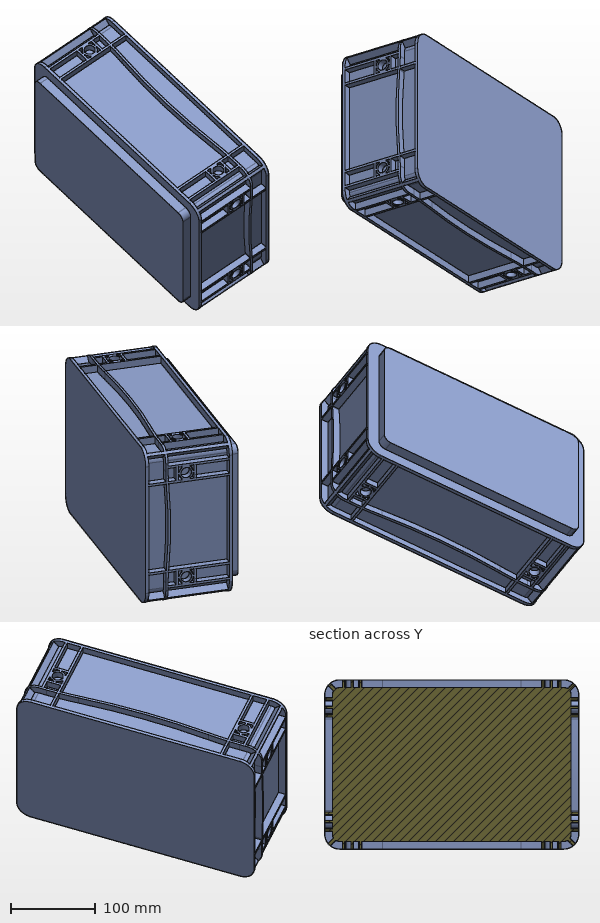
import cadquery as cq
import math


LENGTH = 300.0
WIDTH = 200.0
HEIGHT = 120.0
CORNER_RADIUS = 18.0
RECESS_DEPTH = 9.0

FOOT_HEIGHT = 12.0
FOOT_INSET = 15.0
FOOT_CORNER_RADIUS = 9.0

FLANGE_THICKNESS = 4.0

RIB = 3.0
CORNER_RIB = 4.0
BAND_HEIGHT = 21.0
POST_INSET = 41.0
STUB_INSET = 21.0
BOW_ANGLE = math.radians(4.9)

LONG_HALF_BOW = 122.0
LONG_HALF_ARC = 82.0
SHORT_HALF_BOW = 72.0
SHORT_HALF_ARC = 54.0

BOSS_CELL_HEIGHT = 19.0
BOSS_DEPTH_BELOW_RIM = 50.5
BOSS_ARM_HEIGHT = 10.0
BOSS_OUTER_RADIUS = 9.0
BOSS_HOLE_DIAMETER = 13.0

flange_top = FOOT_HEIGHT + FLANGE_THICKNESS
rim_bottom = HEIGHT - FLANGE_THICKNESS
bow_top = rim_bottom - BAND_HEIGHT
bow_bottom = bow_top - RIB
boss_height = HEIGHT - BOSS_DEPTH_BELOW_RIM
boss_offset = (STUB_INSET + RIB + POST_INSET) / 2
boss_cell_width = POST_INSET - STUB_INSET - RIB


def rounded_slab(length, width, radius, bottom, top):
    """Rectangle in X and Z with rounded corners, standing between two heights along Y."""
    slab = cq.Workplane("XZ", origin=(0, bottom, 0)).rect(length, width).extrude(bottom - top)
    return slab.edges("|Y").fillet(radius)


def wall_plane(normal, distance):
    """Plane on the outer face of a wall: local x along the wall, local y up the body."""
    outward = cq.Vector(*normal)
    along = cq.Vector(0, 1, 0).cross(outward)
    return cq.Plane(origin=(outward * distance).toTuple(), xDir=along.toTuple(), normal=normal)


def upright(plane, left, right, bottom, top):
    """Rectangular rib filling the recess between the given limits on a wall."""
    center = ((left + right) / 2, (bottom + top) / 2)
    return cq.Workplane(plane).center(*center).rect(right - left, top - bottom).extrude(-RECESS_DEPTH)


def bowed_rib(plane, half_span, half_bow, half_arc):
    """Horizontal rib with straight ends that bend through reversed arcs into a dipping middle arc."""
    flare = half_bow - half_arc
    middle_radius = half_arc / math.sin(BOW_ANGLE)
    flare_radius = flare / math.sin(BOW_ANGLE)
    flare_drop = flare_radius * (1 - math.cos(BOW_ANGLE))
    full_drop = flare_drop + middle_radius * (1 - math.cos(BOW_ANGLE))
    flare_middle = half_bow - flare_radius * math.sin(BOW_ANGLE / 2)
    flare_middle_drop = flare_radius * (1 - math.cos(BOW_ANGLE / 2))
    return (
        cq.Workplane(plane)
        .moveTo(-half_span, bow_top)
        .lineTo(-half_bow, bow_top)
        .threePointArc((-flare_middle, bow_top - flare_middle_drop), (-half_arc, bow_top - flare_drop))
        .threePointArc((0, bow_top - full_drop), (half_arc, bow_top - flare_drop))
        .threePointArc((flare_middle, bow_top - flare_middle_drop), (half_bow, bow_top))
        .lineTo(half_span, bow_top)
        .lineTo(half_span, bow_bottom)
        .lineTo(half_bow, bow_bottom)
        .threePointArc((flare_middle, bow_bottom - flare_middle_drop), (half_arc, bow_bottom - flare_drop))
        .threePointArc((0, bow_bottom - full_drop), (-half_arc, bow_bottom - flare_drop))
        .threePointArc((-flare_middle, bow_bottom - flare_middle_drop), (-half_bow, bow_bottom))
        .lineTo(-half_span, bow_bottom)
        .close()
        .extrude(-RECESS_DEPTH)
    )


def boss(plane, position):
    """Ring with a blind hole, tied to its cell by broad and narrow arms, and closed off by two ribs."""
    half_cell = BOSS_CELL_HEIGHT / 2
    half_arm = BOSS_ARM_HEIGHT / 2
    left = position - boss_cell_width / 2
    right = position + boss_cell_width / 2
    cell = upright(plane, left, right, boss_height - half_cell - RIB, boss_height - half_cell)
    cell = cell.union(upright(plane, left, right, boss_height + half_cell, boss_height + half_cell + RIB))
    cell = cell.union(upright(plane, left, right, boss_height - half_arm, boss_height + half_arm))
    cell = cell.union(
        upright(plane, position - RIB / 2, position + RIB / 2, boss_height - half_cell, boss_height + half_cell)
    )
    center = cq.Workplane(plane).center(position, boss_height)
    ring = center.circle(BOSS_OUTER_RADIUS).extrude(-RECESS_DEPTH)
    hole = center.circle(BOSS_HOLE_DIAMETER / 2).extrude(-RECESS_DEPTH)
    return cell.union(ring).cut(hole)


def wall_ribs(normal, distance, half_span, half_bow, half_arc):
    """All ribs and bosses of one wall; half_span is half the full length of that wall."""
    plane = wall_plane(normal, distance)
    ribs = bowed_rib(plane, half_span - CORNER_RADIUS, half_bow, half_arc)
    for side in (-1, 1):
        post = sorted(side * (half_span - POST_INSET - edge) for edge in (0, RIB))
        stub = sorted(side * (half_span - STUB_INSET - edge) for edge in (0, RIB))
        ribs = ribs.union(upright(plane, *post, flange_top, rim_bottom))
        ribs = ribs.union(upright(plane, *stub, flange_top, bow_bottom))
        ribs = ribs.union(boss(plane, side * (half_span - boss_offset)))
    return ribs


def corner_ribs(x_side, z_side):
    """Diagonal rib and the rounded end of the bowed rib on one corner of the body."""
    x = x_side * (LENGTH / 2 - CORNER_RADIUS)
    z = z_side * (WIDTH / 2 - CORNER_RADIUS)
    corner_block = cq.Workplane("XY").box(CORNER_RADIUS, HEIGHT, CORNER_RADIUS).translate(
        (x + x_side * CORNER_RADIUS / 2, HEIGHT / 2, z + z_side * CORNER_RADIUS / 2)
    )
    rib_end = rounded_slab(LENGTH, WIDTH, CORNER_RADIUS, bow_bottom, bow_top).intersect(corner_block)
    blade = (
        cq.Workplane("XY")
        .box(2 * CORNER_RADIUS, HEIGHT, CORNER_RIB, centered=(False, False, True))
        .rotate((0, 0, 0), (0, 1, 0), -math.degrees(math.atan2(z_side, x_side)))
        .translate((x, 0, z))
    )
    diagonal = rounded_slab(LENGTH, WIDTH, CORNER_RADIUS, flange_top, rim_bottom).intersect(blade)
    return rib_end.union(diagonal)


foot = rounded_slab(
    LENGTH - 2 * FOOT_INSET, WIDTH - 2 * FOOT_INSET, FOOT_CORNER_RADIUS, 0, FOOT_HEIGHT
)
core = rounded_slab(
    LENGTH - 2 * RECESS_DEPTH,
    WIDTH - 2 * RECESS_DEPTH,
    CORNER_RADIUS - RECESS_DEPTH,
    FOOT_HEIGHT,
    HEIGHT,
)
bottom_flange = rounded_slab(LENGTH, WIDTH, CORNER_RADIUS, FOOT_HEIGHT, flange_top)
rim = rounded_slab(LENGTH, WIDTH, CORNER_RADIUS, rim_bottom, HEIGHT)
body = core.union(foot).union(bottom_flange).union(rim)

for x_direction in (-1, 1):
    for z_direction in (-1, 1):
        body = body.union(corner_ribs(x_direction, z_direction))

for direction in (-1, 1):
    body = body.union(
        wall_ribs((0, 0, direction), WIDTH / 2, LENGTH / 2, LONG_HALF_BOW, LONG_HALF_ARC)
    )
    body = body.union(
        wall_ribs((direction, 0, 0), LENGTH / 2, WIDTH / 2, SHORT_HALF_BOW, SHORT_HALF_ARC)
    )

result = body